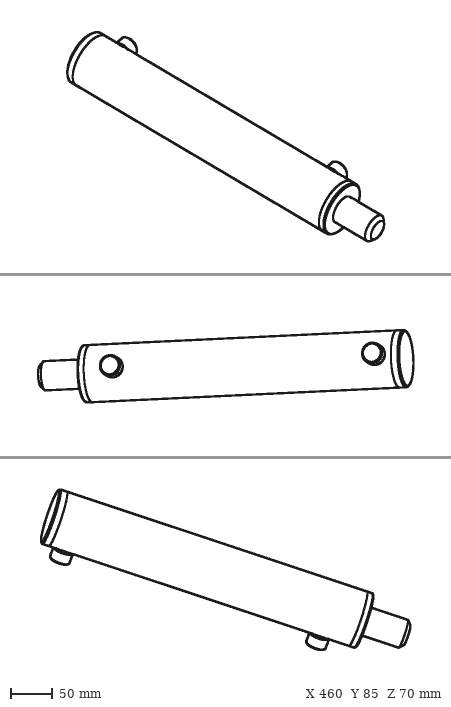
import cadquery as cq

total_length = 460.0
body_diameter = 70.0
body_radius = body_diameter / 2
total_width = 85.0

end_cap_length = 10.0
gland_length = 8.5
gland_face_x = 405.0
end_cap_chamfer = 2.0
gland_chamfer = 1.5
barrel_end_x = gland_face_x - gland_length

rod_diameter = 36.0
rod_tip_chamfer = 5.0

port_diameter = 25.5
port_chamfer = 1.5
port_top_y = total_width - body_radius
port_seat_depth = 0.5
port_base_y = body_radius - port_seat_depth
port_positions = [30.0, 359.5]


def cylinder_along_x(start_x, end_x, diameter):
    """Solid round bar on the main axis."""
    return cq.Workplane("YZ", origin=(start_x, 0, 0)).circle(diameter / 2).extrude(end_x - start_x)


def make_end_cap():
    cap = cylinder_along_x(0, end_cap_length, body_diameter)
    return cap.faces("<X").chamfer(end_cap_chamfer)


def make_barrel():
    return cylinder_along_x(end_cap_length, barrel_end_x, body_diameter)


def make_gland():
    gland = cylinder_along_x(barrel_end_x, gland_face_x, body_diameter)
    return gland.faces(">X").chamfer(gland_chamfer)


def make_rod():
    """Rod standing on the gland face, with a tapered tip."""
    rod = cylinder_along_x(gland_face_x, total_length, rod_diameter)
    return rod.faces(">X").edges().chamfer(rod_tip_chamfer)


def make_port(center_x):
    """Port boss with both rims chamfered, its base cut to sit on the barrel."""
    boss = cq.Workplane("XZ", origin=(center_x, port_base_y, 0)).circle(port_diameter / 2)
    boss = boss.extrude(-(port_top_y - port_base_y))
    return boss.faces("<Y or >Y").chamfer(port_chamfer).cut(make_barrel())


end_cap = make_end_cap()
barrel = make_barrel()
gland = make_gland()
rod = make_rod()
ports = [make_port(center_x) for center_x in port_positions]

result = cq.Compound.makeCompound(
    [
        end_cap.val(),
        barrel.val(),
        gland.val(),
        rod.val(),
        *[port.val() for port in ports],
    ]
)